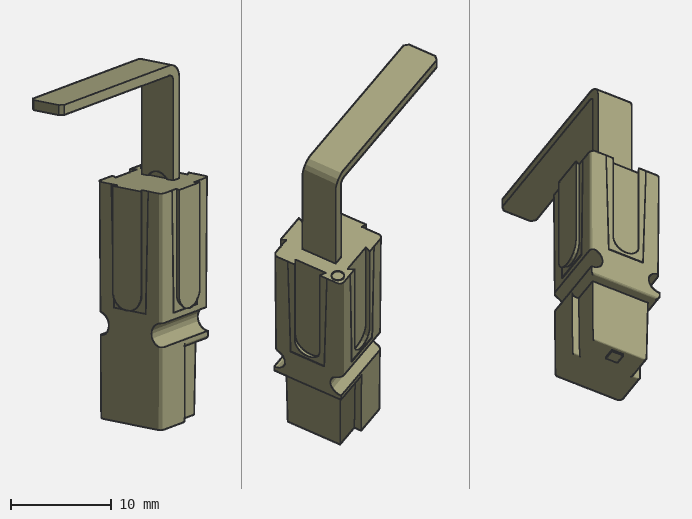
import cadquery as cq
import math

HOUSING_HEIGHT = 24.5
TOP_HALF = 3.96
BOTTOM_HALF = 3.85
CORNER_RADIUS = 0.5
BOTTOM_ROUND = 0.2
DRAFT_ANGLE = math.degrees(math.atan((TOP_HALF - BOTTOM_HALF) / HOUSING_HEIGHT))

PANEL_BOTTOM_Z = 11.8
PANEL_DEPTH = 1.0
PANEL_TOP_HALF_WIDTH = 2.27
PANEL_BOTTOM_HALF_WIDTH = 1.95

DOVETAIL_END_Z = 13.68
DOVETAIL_FLARE = 0.5
TONGUE_HEIGHT = 0.49
TONGUE_TIP_HALF_WIDTH = 1.75
TONGUE_BASE_HALF_WIDTH = TONGUE_TIP_HALF_WIDTH - DOVETAIL_FLARE * TONGUE_HEIGHT
GROOVE_DEPTH = 0.63
GROOVE_MOUTH_HALF_WIDTH = 1.44
GROOVE_FLOOR_HALF_WIDTH = GROOVE_MOUTH_HALF_WIDTH + DOVETAIL_FLARE * GROOVE_DEPTH

NOTCH_RADIUS = 1.25
NOTCH_Z = 9.85
NOTCH_X = 3.88

LEDGE_Z = 7.78
LEDGE_ROUND = 0.35
BLOCK_HALF_WIDTH = 3.18
BLOCK_BACK_Y = 2.84
BLOCK_DRAFT_ANGLE = 0.75

MARK_RADIUS = 0.63
MARK_DEPTH = 0.1
MARK_X = -2.97
MARK_Y = 3.02

NUB_WIDTH = 1.3
NUB_LENGTH = 1.2
NUB_HEIGHT = 0.2
NUB_Y = 1.67

BLADE_TOP_Z = 36.5
BLADE_END_Y = -17.96
BLADE_BACK_Y = 1.74
BLADE_WIDTH = 3.87
BLADE_THICKNESS = 1.05
BEND_INNER_RADIUS = 0.6
BEND_OUTER_RADIUS = BEND_INNER_RADIUS + BLADE_THICKNESS
BLADE_CORNER_CHAMFER = 0.4
BLADE_EMBED = 2.0

DIMPLE_RADIUS = 1.4
DIMPLE_DEPTH = 0.2
DIMPLE_Z = HOUSING_HEIGHT - 0.8

SIDE_TURNS = {"+X": 0, "+Y": 90, "-X": 180, "-Y": 270}


def turn_to(side, body):
    return body.rotate((0, 0, 0), (0, 0, 1), SIDE_TURNS[side])


def sharp_housing():
    """Tapered prism before its upright corners are rounded."""
    return (
        cq.Workplane("XY", origin=(0, 0, HOUSING_HEIGHT))
        .rect(2 * TOP_HALF, 2 * TOP_HALF)
        .extrude(-HOUSING_HEIGHT, taper=DRAFT_ANGLE)
    )


def housing_body():
    return sharp_housing().edges("not #Z").fillet(CORNER_RADIUS)


def side_panel():
    """Upright slab on the +X side, flush with the housing at the top edge."""
    return (
        cq.Workplane("YZ", origin=(TOP_HALF - PANEL_DEPTH, 0, 0))
        .polyline([
            (-PANEL_BOTTOM_HALF_WIDTH, PANEL_BOTTOM_Z),
            (PANEL_BOTTOM_HALF_WIDTH, PANEL_BOTTOM_Z),
            (PANEL_TOP_HALF_WIDTH, HOUSING_HEIGHT),
            (-PANEL_TOP_HALF_WIDTH, HOUSING_HEIGHT),
        ])
        .close()
        .extrude(PANEL_DEPTH)
    )


def dovetail(inner_x, inner_half_width, outer_x, outer_half_width):
    """Dovetail on the +X side, from its round end up to the housing top."""
    bar = (
        cq.Workplane("XY", origin=(0, 0, DOVETAIL_END_Z))
        .polyline([
            (inner_x, -inner_half_width),
            (outer_x, -outer_half_width),
            (outer_x, outer_half_width),
            (inner_x, inner_half_width),
        ])
        .close()
        .extrude(HOUSING_HEIGHT - DOVETAIL_END_Z)
    )
    round_end = cq.Workplane(cq.Solid.makeCone(
        inner_half_width,
        outer_half_width,
        outer_x - inner_x,
        cq.Vector(inner_x, 0, DOVETAIL_END_Z),
        cq.Vector(1, 0, 0),
    ))
    return bar.union(round_end)


def tongue():
    return dovetail(TOP_HALF, TONGUE_BASE_HALF_WIDTH, TOP_HALF + TONGUE_HEIGHT, TONGUE_TIP_HALF_WIDTH)


def groove():
    return dovetail(TOP_HALF - GROOVE_DEPTH, GROOVE_FLOOR_HALF_WIDTH, TOP_HALF, GROOVE_MOUTH_HALF_WIDTH)


def pin_notches():
    return (
        cq.Workplane("XZ")
        .pushPoints([(-NOTCH_X, NOTCH_Z), (NOTCH_X, NOTCH_Z)])
        .circle(NOTCH_RADIUS)
        .extrude(2 * TOP_HALF, both=True)
    )


def back_half_block(bottom_z, top_z):
    """Oversize block covering the +Y half between two heights."""
    return (
        cq.Workplane("XY", origin=(0, 2 * TOP_HALF, bottom_z))
        .rect(4 * TOP_HALF, 4 * TOP_HALF)
        .extrude(top_z - bottom_z)
    )


def mating_step():
    """Space around the mating block: behind it and on both of its sides."""
    block = (
        cq.Workplane("XY", origin=(0, 0, NOTCH_Z))
        .rect(2 * BLOCK_HALF_WIDTH, 2 * BLOCK_BACK_Y)
        .extrude(-NOTCH_Z, taper=BLOCK_DRAFT_ANGLE)
    )
    return back_half_block(0, NOTCH_Z).cut(block)


def ledge():
    """Square-cornered shelf under the notches with a rounded lower rim."""
    shelf = sharp_housing().intersect(back_half_block(LEDGE_Z, NOTCH_Z))
    return shelf.faces("<Z").edges("not <Y").fillet(LEDGE_ROUND)


def top_mark():
    return (
        cq.Workplane("XY", origin=(MARK_X, MARK_Y, HOUSING_HEIGHT - MARK_DEPTH))
        .circle(MARK_RADIUS)
        .extrude(MARK_DEPTH)
    )


def contact_nub():
    return (
        cq.Workplane("XY", origin=(0, NUB_Y, -NUB_HEIGHT))
        .rect(NUB_WIDTH, NUB_LENGTH)
        .extrude(2 * NUB_HEIGHT)
    )


def contact_blade():
    front_y = BLADE_BACK_Y - BLADE_THICKNESS
    foot_z = HOUSING_HEIGHT - BLADE_EMBED
    profile = [
        (BLADE_BACK_Y, foot_z),
        (BLADE_BACK_Y, BLADE_TOP_Z),
        (BLADE_END_Y, BLADE_TOP_Z),
        (BLADE_END_Y, BLADE_TOP_Z - BLADE_THICKNESS),
        (front_y, BLADE_TOP_Z - BLADE_THICKNESS),
        (front_y, foot_z),
    ]
    blade = cq.Workplane("YZ").polyline(profile).close().extrude(BLADE_WIDTH / 2, both=True)
    blade = blade.edges("|X and >Y and >Z").fillet(BEND_OUTER_RADIUS)
    inner_corner = cq.selectors.NearestToPointSelector((0, front_y, BLADE_TOP_Z - BLADE_THICKNESS))
    blade = blade.edges("|X").edges(inner_corner).fillet(BEND_INNER_RADIUS)
    blade = blade.edges("|Z and <Y").chamfer(BLADE_CORNER_CHAMFER)

    dimple = (
        cq.Workplane("XZ", origin=(0, front_y, 0))
        .center(0, DIMPLE_Z)
        .circle(DIMPLE_RADIUS)
        .extrude(-DIMPLE_DEPTH)
    )
    return blade.cut(dimple)


housing = housing_body()
housing = housing.cut(mating_step())
housing = housing.faces("<Z").edges().fillet(BOTTOM_ROUND)
housing = housing.union(ledge())
for side in SIDE_TURNS:
    housing = housing.union(turn_to(side, side_panel()))
for side in ("+X", "-Y"):
    housing = housing.union(turn_to(side, tongue()))
for side in ("-X", "+Y"):
    housing = housing.cut(turn_to(side, groove()))
housing = housing.cut(pin_notches())
housing = housing.cut(top_mark())

result = housing.union(contact_nub()).union(contact_blade())